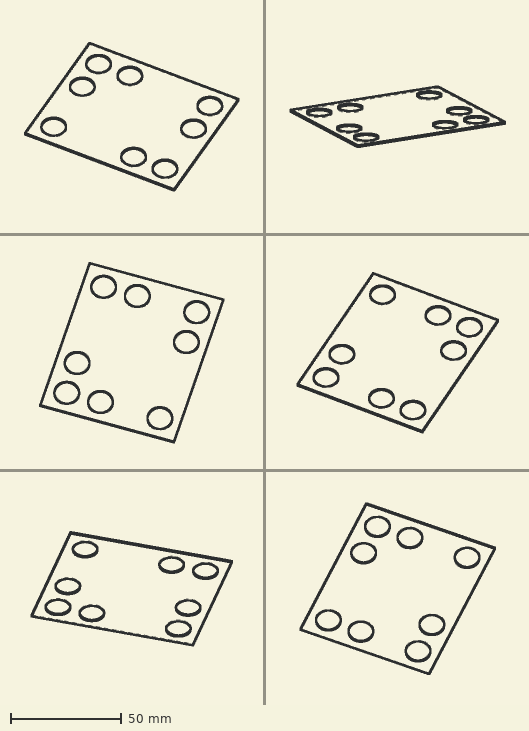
import cadquery as cq

length = 76.2
width = 63.5
thickness = 0.85

hole_diameter = 11.2
hole_pitch = 16.0
corner_x = 28.4
corner_y = 22.1

corner_holes = [(sx * corner_x, sy * corner_y) for sx in (-1, 1) for sy in (-1, 1)]
neighbour_holes = [
    (-corner_x + hole_pitch, corner_y),
    (corner_x - hole_pitch, -corner_y),
    (-corner_x, corner_y - hole_pitch),
    (corner_x, corner_y - hole_pitch),
]

result = (
    cq.Workplane("XY")
    .box(length, width, thickness)
    .faces(">Z")
    .workplane()
    .pushPoints(corner_holes + neighbour_holes)
    .hole(hole_diameter)
)